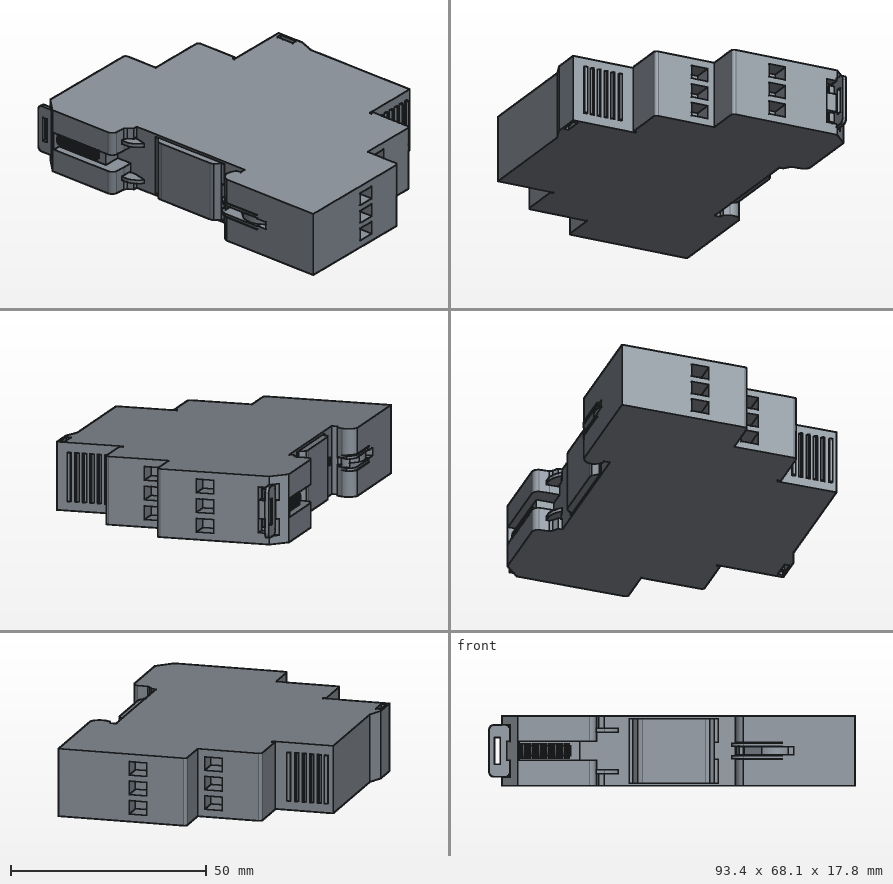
import cadquery as cq
import math

width = 90.1
height = 68.1
thickness = 17.8
half_thickness = thickness / 2
lower_step_inset = 10.1
upper_step_inset = 22.7
lower_step_y = 34.1
upper_step_y = 51.1
cover_y = 66.4
raised_end_x = 30.5
cover_ramp_end_x = 34.7
step_corner_radius = 0.8
relief_width = 0.5
relief_depth = 0.8
base_chamfer = 4.0

notch_left_x = 24.2
notch_top_y = 6.9
notch_left_corner_x = 26.15
notch_left_corner_y = 5.8
notch_left_slope_y = 4.1
notch_left_bend_x = 24.75
notch_left_bend_y = 4.9
notch_left_foot_x = 22.3
notch_left_heel_x = 24.0
notch_left_heel_y = 1.3
notch_left_arc_point = (23.35, 0.4)
notch_right_x = 61.8
notch_right_y = 5.3
notch_right_lip_x = 60.5
notch_right_lip_y = 5.0
notch_right_wall_x = 59.8
notch_right_wall_y = 3.55
notch_right_foot_x = 61.55
notch_right_arc_point = (60.0, 1.3)

pad_left_x = 32.5
pad_right_x = 55.2
pad_middle_x = (pad_left_x + pad_right_x) / 2
pad_flat_width = 16.1
pad_bottom_y = 4.95
pad_lip = 0.9
pad_lip_height = 0.2
pad_edge_width = 1.1
pad_edge_height = 0.2
pad_width = 16.4
pad_notch_width = 4.3

window_left_x = 23.8
window_right_x = 28.9
window_bottom_y = 66.2
window_top_y = 67.5
window_pocket_depth = 0.9
window_end_wall = 1.0

rib_count = 6
rib_pitch = 2.0
rib_middle_y = 59.7
rib_reach = 0.7
rib_length = 12.7
end_rib_width = 0.8
rib_root_width = 1.1
rib_tip_width = 0.4

terminal_width = 3.55
terminal_height = 4.7
terminal_pitch = 5.1
terminal_depth = 5.6
lower_terminal_y = 21.2
upper_terminal_y = 38.3

overcut = 0.9
tab_reach = 3.3
tab_bottom_y = 3.1
tab_thickness = 1.0
tab_width = 13.3
tab_corner_radius = 1.3
tab_end_x = 2.15
tab_slot_width = 1.4
tab_slot_length = 6.7
tab_slot_x = -1.1
slider_face_x = 0.4
tab_middle_gap = 0.4
tab_middle_width = 4.9
tab_pocket_bottom_y = 2.0
tab_pocket_width = 13.45
slider_pocket_width = 12.0
slider_pocket_depth = 2.8
slider_step_width = 9.9
slider_step_ys = (6.4, 5.5)
slider_step = 0.7
slider_bay_width = 4.9
slider_bay_start_x = 4.5
slider_floor_y = 2.15
slider_end_x = 19.9
spring_start_x = 4.6
spring_end_x = 17.65
spring_coils = 16
spring_radius = 2.1
spring_core_radius = 1.6
spring_axis_y = 3.1
hook_root = 0.9
hook_tip_x = 29.7
hook_tip_y = 5.6
hook_bottom_y = 3.3
hook_arc_point = (28.2, 4.2)
hook_top_y = 6.5
hook_inner_z = 4.8
hook_outer_z = 5.8

arm_nose_x = 58.7
arm_nose_y = 1.9
arm_nose_arc_point = (59.5, 0.75)
groove_width = 2.1
groove_start_x = 59.9
groove_end_x = 74.5
groove_depth = 4.7
groove_deep_end = 8.4
hump_left_x = 61.2
hump_left_y = 5.6
hump_bend_x = 66.3
hump_bend_y = 0.9
hump_right_x = 73.0
hump_right_y = 2.1
hump_arc_point = (69.6, 0.4)
slit_width = 0.2
slit_end_x = 71.5
slit_depth = 1.9
rail_inner_z = groove_width / 2 + slit_width
rail_outer_z = 2.0


def slab(outline, z_low, z_high):
    """Closed XY outline extruded between two Z levels."""
    return outline.close().extrude(z_high - z_low).translate((0, 0, z_low))


def block(x_low, x_high, y_low, y_high, z_width, z_middle=0):
    """Box given by its X and Y limits and its Z width."""
    box = cq.Workplane("XY").box(x_high - x_low, y_high - y_low, z_width)
    return box.translate(((x_low + x_high) / 2, (y_low + y_high) / 2, z_middle))


def with_mirror(shape):
    """The shape and its mirror image across the housing's middle in Z."""
    return shape.union(shape.mirror("XY"))


def housing():
    """Stepped outline with the cover ramp, the base chamfer and the rail notch."""
    r = step_corner_radius
    arc = r * (1 - math.sqrt(0.5))
    lower_x = lower_step_inset
    upper_x = upper_step_inset
    outline = (
        cq.Workplane("XY")
        .moveTo(base_chamfer, 0)
        .lineTo(notch_left_foot_x, 0)
        .threePointArc(notch_left_arc_point, (notch_left_heel_x, notch_left_heel_y))
        .lineTo(notch_left_x, notch_left_slope_y)
        .lineTo(notch_left_bend_x, notch_left_bend_y)
        .lineTo(notch_left_corner_x, notch_left_corner_y)
        .lineTo(notch_left_corner_x, notch_top_y)
        .lineTo(notch_right_x, notch_top_y)
        .lineTo(notch_right_x, notch_right_y)
        .lineTo(notch_right_lip_x, notch_right_lip_y)
        .lineTo(notch_right_wall_x, notch_right_wall_y)
        .threePointArc(notch_right_arc_point, (notch_right_foot_x, 0))
        .lineTo(width, 0)
        .lineTo(width, lower_step_y - r)
        .threePointArc((width - arc, lower_step_y - arc), (width - r, lower_step_y))
        .lineTo(width - lower_x, lower_step_y)
        .lineTo(width - lower_x, upper_step_y - r)
        .threePointArc(
            (width - lower_x - arc, upper_step_y - arc),
            (width - lower_x - r, upper_step_y),
        )
        .lineTo(width - upper_x, upper_step_y)
        .lineTo(width - upper_x, cover_y)
        .lineTo(cover_ramp_end_x, cover_y)
        .lineTo(raised_end_x, height)
        .lineTo(upper_x, height)
        .lineTo(upper_x, upper_step_y)
        .lineTo(lower_x + r, upper_step_y)
        .threePointArc((lower_x + arc, upper_step_y - arc), (lower_x, upper_step_y - r))
        .lineTo(lower_x, lower_step_y)
        .lineTo(r, lower_step_y)
        .threePointArc((arc, lower_step_y - arc), (0, lower_step_y - r))
        .lineTo(0, base_chamfer)
    )
    body = slab(outline, -half_thickness, half_thickness)
    for relief_x in (upper_x - relief_width, width - upper_x):
        body = body.cut(
            block(relief_x, relief_x + relief_width, upper_step_y - relief_depth, upper_step_y, thickness)
        )
    return body


def pad():
    """Flared pad on the notch ceiling, with its right lip broken in the middle."""
    lip_y = notch_top_y - pad_lip_height
    half_flat = pad_flat_width / 2
    left_half = [
        (pad_left_x, notch_top_y + pad_lip_height),
        (pad_left_x, lip_y),
        (pad_left_x + pad_lip, lip_y),
        (pad_middle_x - half_flat - pad_edge_width, pad_bottom_y + pad_edge_height),
        (pad_middle_x - half_flat, pad_bottom_y),
    ]
    right_half = [(2 * pad_middle_x - x, y) for x, y in reversed(left_half)]
    outline = cq.Workplane("XY").polyline(left_half + right_half)
    gap = block(pad_right_x - pad_lip, pad_right_x, pad_bottom_y, notch_top_y, pad_notch_width)
    return slab(outline, -pad_width / 2, pad_width / 2).cut(gap)


def window():
    """Through opening with a longer shallow pocket at each face."""
    through = block(
        window_left_x + window_end_wall,
        window_right_x - window_end_wall,
        window_bottom_y,
        window_top_y,
        thickness,
    )
    pocket = block(
        window_left_x,
        window_right_x,
        window_bottom_y,
        window_top_y,
        window_pocket_depth,
        half_thickness - window_pocket_depth / 2,
    )
    return through.union(with_mirror(pocket))


def side_ribs():
    """Row of ribs on the left upper wall: flat ones at the ends, tapered ones between."""
    wall_x = upper_step_inset
    ribs = cq.Workplane("XY")
    for i in range(rib_count):
        y = rib_middle_y + (i - (rib_count - 1) / 2) * rib_pitch
        is_end = i in (0, rib_count - 1)
        root = (end_rib_width if is_end else rib_root_width) / 2
        tip = (end_rib_width if is_end else rib_tip_width) / 2
        outline = cq.Workplane("XY").polyline(
            [
                (wall_x + rib_reach, y - root),
                (wall_x, y - root),
                (wall_x - rib_reach, y - tip),
                (wall_x - rib_reach, y + tip),
                (wall_x, y + root),
                (wall_x + rib_reach, y + root),
            ]
        )
        ribs = ribs.add(slab(outline, -rib_length / 2, rib_length / 2))
    return ribs.combine()


def terminals():
    """Two rows of three rectangular wire openings in the left step walls."""
    openings = cq.Workplane("XY")
    for wall_x, y in ((0, lower_terminal_y), (lower_step_inset, upper_terminal_y)):
        for i in (-1, 0, 1):
            openings = openings.add(
                block(
                    wall_x,
                    wall_x + terminal_depth,
                    y - terminal_height / 2,
                    y + terminal_height / 2,
                    terminal_width,
                    i * terminal_pitch,
                )
            )
    return openings.combine()


def mirrored_ends(shape):
    """The shape mirrored to the opposite end of the housing."""
    return shape.mirror("YZ").translate((width, 0, 0))


def slider_pockets():
    """Room for the slider: the tab opening in the chamfer and the open spring bay."""
    tab_top_y = tab_bottom_y + tab_thickness
    opening = block(-overcut, tab_end_x, tab_pocket_bottom_y, tab_top_y, tab_pocket_width)
    opening = opening.union(block(-overcut, slider_pocket_depth, tab_top_y, notch_top_y, slider_pocket_width))
    opening = opening.cut(block(-overcut, tab_end_x, 0, tab_bottom_y - tab_middle_gap, tab_middle_width))
    bay = block(slider_bay_start_x, slider_end_x, 0, slider_floor_y, slider_bay_width)
    bay = bay.union(block(slider_end_x, notch_left_corner_x, 0, notch_top_y, slider_bay_width))
    corner = block(notch_left_x, notch_left_corner_x, 0, notch_top_y, 2 * hook_outer_z)
    return opening.union(bay).union(corner)


def pull_tab():
    """Slotted plate that sticks out through the chamfer, with the stepped slider body behind it."""
    tab_top_y = tab_bottom_y + tab_thickness
    plate = block(-tab_reach, tab_end_x, tab_bottom_y, tab_top_y, tab_width)
    plate = plate.edges("|Y").fillet(tab_corner_radius)
    slot = block(
        tab_slot_x - tab_slot_width / 2,
        tab_slot_x + tab_slot_width / 2,
        tab_bottom_y,
        tab_top_y,
        tab_slot_length,
    )
    plate = plate.cut(slot)
    plate = plate.union(block(slider_face_x, slider_pocket_depth, tab_top_y, notch_top_y, tab_middle_width))
    for i, y in enumerate(slider_step_ys):
        x = slider_pocket_depth - (i + 1) * slider_step
        plate = plate.union(block(x, slider_pocket_depth, tab_top_y, y, slider_step_width))
    return plate


def spring():
    """Compression spring as a core with one ring per coil, partly sunk in the bay floor."""
    pitch = (spring_end_x - spring_start_x) / spring_coils
    profile = cq.Workplane("YZ", origin=(spring_start_x, spring_axis_y, 0))
    coils = profile.circle(spring_core_radius).extrude(spring_end_x - spring_start_x)
    for i in range(spring_coils):
        ring = cq.Workplane("YZ", origin=(spring_start_x + i * pitch, spring_axis_y, 0))
        coils = coils.union(ring.circle(spring_radius).extrude(pitch / 2))
    return coils


def hooks():
    """Two wedge hooks of the slider that catch the rail."""
    outline = (
        cq.Workplane("XY")
        .moveTo(notch_left_x - hook_root, hook_top_y)
        .lineTo(notch_left_corner_x, hook_top_y)
        .lineTo(hook_tip_x, hook_tip_y)
        .threePointArc(hook_arc_point, (notch_left_corner_x, hook_bottom_y))
        .lineTo(notch_left_x - hook_root, hook_bottom_y)
    )
    return with_mirror(slab(outline, hook_inner_z, hook_outer_z))


def arm_cuts():
    """Groove along the arm with a humped floor, a thin gap inside each rail and a slit outside it."""
    groove = (
        cq.Workplane("XY")
        .moveTo(groove_start_x, 0)
        .lineTo(groove_end_x, 0)
        .lineTo(groove_end_x, groove_depth)
        .lineTo(hump_right_x, groove_depth)
        .lineTo(hump_right_x, hump_right_y)
        .threePointArc(hump_arc_point, (hump_bend_x, hump_bend_y))
        .lineTo(hump_left_x, hump_left_y)
        .lineTo(groove_start_x, groove_deep_end)
    )
    cuts = slab(groove, -groove_width / 2, groove_width / 2)
    gap = block(groove_start_x, slit_end_x, 0, groove_depth, slit_width, rail_inner_z - slit_width / 2)
    slit = block(groove_start_x, slit_end_x, 0, slit_depth, slit_width, rail_outer_z + slit_width / 2)
    return cuts.union(with_mirror(gap)).union(with_mirror(slit))


def arm_noses():
    """Rounded noses of the two arm rails, standing out into the notch."""
    outline = (
        cq.Workplane("XY")
        .moveTo(notch_right_foot_x, 0)
        .threePointArc(arm_nose_arc_point, (arm_nose_x, arm_nose_y))
        .lineTo(notch_right_wall_x, notch_right_wall_y)
        .lineTo(notch_right_foot_x, notch_right_wall_y)
    )
    return with_mirror(slab(outline, rail_inner_z, rail_outer_z))


left_ribs = side_ribs()
left_terminals = terminals()

result = housing().union(pad()).cut(window())
result = result.union(left_ribs).union(mirrored_ends(left_ribs))
result = result.cut(left_terminals).cut(mirrored_ends(left_terminals))
result = result.cut(slider_pockets()).union(pull_tab()).union(spring()).union(hooks())
result = result.cut(arm_cuts()).union(arm_noses())